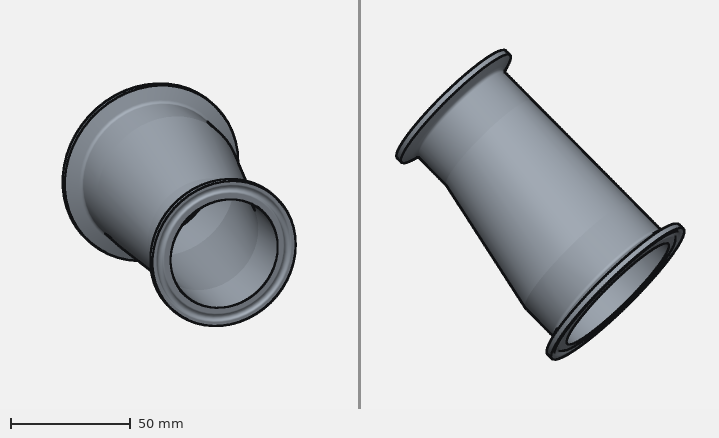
import cadquery as cq
import math

length = 107.0
ferrule_length = 23.1

large_rim_radius = 77.5 / 2
large_tube_radius = 63.5 / 2
large_bore_radius = 59.5 / 2

small_rim_radius = 64.0 / 2
small_tube_radius = 50.8 / 2
small_bore_radius = 47.8 / 2

small_axis_y = small_tube_radius - large_tube_radius

rim_width = 2.8
clamp_angle = math.radians(20)
neck_fillet = 1.7

groove_inset = 3.5
groove_radius = 1.4
groove_half_width = 1.9
groove_angle = math.radians(60)


def ferrule_body(rim_radius, tube_radius):
    """Solid ferrule about X, sealing face at X = 0, tube toward +X."""
    fillet_center_r = tube_radius + neck_fillet
    cone_end_r = fillet_center_r - neck_fillet * math.sin(clamp_angle)
    cone_end_x = rim_width + (rim_radius - cone_end_r) * math.tan(clamp_angle)
    fillet_center_x = cone_end_x + neck_fillet * math.cos(clamp_angle)
    mid_angle = (clamp_angle + math.pi / 2) / 2
    fillet_middle = (
        fillet_center_x - neck_fillet * math.cos(mid_angle),
        fillet_center_r - neck_fillet * math.sin(mid_angle),
    )
    return (
        cq.Workplane("XY")
        .moveTo(0, 0)
        .lineTo(0, rim_radius)
        .lineTo(rim_width, rim_radius)
        .lineTo(cone_end_x, cone_end_r)
        .threePointArc(fillet_middle, (fillet_center_x, tube_radius))
        .lineTo(ferrule_length, tube_radius)
        .lineTo(ferrule_length, 0)
        .close()
        .revolve(360, (0, 0, 0), (1, 0, 0))
    )


def gasket_groove(rim_radius):
    """Ring cutter: a round-bottomed groove blending into the face at X = 0."""
    middle_r = rim_radius - groove_inset
    wall_offset = groove_radius * math.sin(groove_angle)
    edge_radius = (groove_half_width - wall_offset) / math.sin(groove_angle)
    wall_x = edge_radius * (1 - math.cos(groove_angle))
    depth = wall_x + groove_radius * (1 - math.cos(groove_angle))
    edge_mid_x = edge_radius * (1 - math.cos(groove_angle / 2))
    edge_mid_offset = groove_half_width - edge_radius * math.sin(groove_angle / 2)
    return (
        cq.Workplane("XY")
        .moveTo(0, middle_r - groove_half_width)
        .threePointArc((edge_mid_x, middle_r - edge_mid_offset), (wall_x, middle_r - wall_offset))
        .threePointArc((depth, middle_r), (wall_x, middle_r + wall_offset))
        .threePointArc((edge_mid_x, middle_r + edge_mid_offset), (0, middle_r + groove_half_width))
        .close()
        .revolve(360, (0, 0, 0), (1, 0, 0))
    )


def place_small_end(shape):
    """Turn a shape to face +X and move it to the small end."""
    return shape.mirror("YZ").translate((length, small_axis_y, 0))


def cylinder(radius):
    """Cylinder along X, one ferrule long."""
    return cq.Workplane("YZ").circle(radius).extrude(ferrule_length)


def offset_cone(large_radius, small_radius):
    """Slanted cone joining the inner ends of the two ferrules."""
    return (
        cq.Workplane("YZ", origin=(ferrule_length, 0, 0))
        .circle(large_radius)
        .workplane(offset=length - 2 * ferrule_length)
        .center(small_axis_y, 0)
        .circle(small_radius)
        .loft(ruled=True)
    )


outside = (
    ferrule_body(large_rim_radius, large_tube_radius)
    .union(offset_cone(large_tube_radius, small_tube_radius))
    .union(place_small_end(ferrule_body(small_rim_radius, small_tube_radius)))
)

passage = (
    cylinder(large_bore_radius)
    .union(offset_cone(large_bore_radius, small_bore_radius))
    .union(place_small_end(cylinder(small_bore_radius)))
)

result = (
    outside.cut(passage)
    .cut(gasket_groove(large_rim_radius))
    .cut(place_small_end(gasket_groove(small_rim_radius)))
)